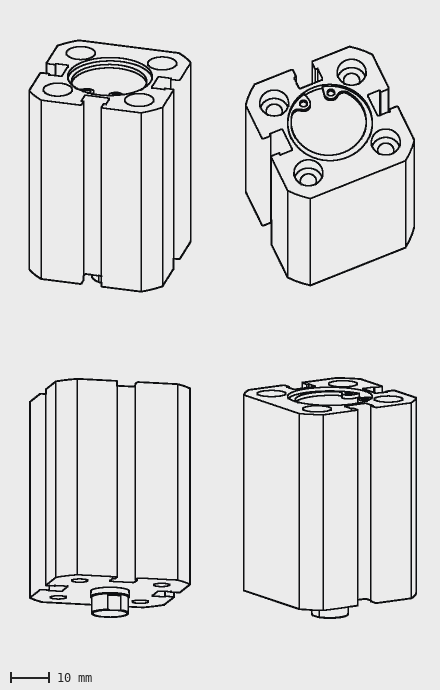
import cadquery as cq
import math


total_height = 58.0
rod_projection = 6.0
housing_height = total_height - rod_projection

housing_width = 36.0
half_width = housing_width / 2
corner_diameter = 45.0

slot_mouth_width = 5.4
slot_inner_width = 6.65
slot_depth = 5.9
slot_lip = 2.45
slot_rounding = 0.4

hole_spacing = 22.0
hole_diameter = 4.2
counterbore_diameter = 7.5
counterbore_depth = 5.0

recess_diameter = 22.0
ring_drop = 1.0
ring_thickness = 1.0
cover_thickness = 5.0
recess_depth = ring_drop + ring_thickness + cover_thickness
ring_base = housing_height - ring_drop - ring_thickness
cover_base = housing_height - recess_depth

ring_inner_diameter = 19.55
ring_inner_offset = 0.85
lug_x = 3.9
lug_y = -8.25
lug_radius = 1.8
lug_hole_diameter = 1.9
lug_blend_radius = 1.85
gap_inner_half = lug_x - lug_radius
gap_outer_half = 2.6

rod_diameter = 10.0
tip_diameter = 9.55
tip_flat_width = 8.9
tip_chamfer = 0.2
collar_length = 1.45


def make_slot_cutter():
    """T-slot cutter for the -Y side, running the full height of the housing."""
    mouth = slot_mouth_width / 2
    inner = slot_inner_width / 2
    mouth_y = -half_width
    lip_y = mouth_y + slot_lip
    floor_y = mouth_y + slot_depth
    round_top_y = mouth_y + slot_rounding
    flare = mouth + slot_rounding
    arc_sag = slot_rounding * (1 - math.sqrt(0.5))

    slot = (
        cq.Workplane("XY")
        .moveTo(flare, mouth_y)
        .threePointArc((mouth + arc_sag, mouth_y + arc_sag), (mouth, round_top_y))
        .lineTo(mouth, lip_y)
        .lineTo(inner, lip_y)
        .lineTo(inner, floor_y)
        .lineTo(-inner, floor_y)
        .lineTo(-inner, lip_y)
        .lineTo(-mouth, lip_y)
        .lineTo(-mouth, round_top_y)
        .threePointArc((-mouth - arc_sag, mouth_y + arc_sag), (-flare, mouth_y))
        .close()
        .extrude(housing_height)
    )
    return slot.faces(">Y").edges("|Z").fillet(slot_rounding)


def make_housing():
    corner_envelope = cq.Workplane("XY").circle(corner_diameter / 2).extrude(housing_height)
    housing = cq.Workplane("XY").rect(housing_width, housing_width).extrude(housing_height)
    housing = housing.intersect(corner_envelope)

    slot_cutter = make_slot_cutter()
    for angle in (-90, 0, 90):
        housing = housing.cut(slot_cutter.rotate((0, 0, 0), (0, 0, 1), angle))

    housing = (
        housing.faces(">Z").workplane(origin=(0, 0, 0))
        .rect(hole_spacing, hole_spacing, forConstruction=True).vertices()
        .cboreHole(hole_diameter, counterbore_diameter, counterbore_depth)
    )

    recess = cq.Workplane("XY").workplane(offset=cover_base).circle(recess_diameter / 2).extrude(recess_depth)
    rod_bore = cq.Workplane("XY").circle(rod_diameter / 2).extrude(cover_base)
    return housing.cut(recess).cut(rod_bore)


def make_cover():
    """Plain disc that closes the top end, under the snap ring."""
    return (
        cq.Workplane("XY").workplane(offset=cover_base)
        .circle(recess_diameter / 2).extrude(cover_thickness)
    )


def make_snap_ring():
    """Internal snap ring, open toward -Y, with a drilled lug at each end."""
    base = cq.Workplane("XY").workplane(offset=ring_base)
    lug_centres = [(-lug_x, lug_y), (lug_x, lug_y)]

    outer_disc = base.circle(recess_diameter / 2).extrude(ring_thickness)
    opening = base.center(0, -ring_inner_offset).circle(ring_inner_diameter / 2).extrude(ring_thickness)
    lugs = base.pushPoints(lug_centres).circle(lug_radius).extrude(ring_thickness)

    rim_y = -recess_diameter / 2
    for side in (-1, 1):
        wedge = [
            (side * gap_inner_half, lug_y),
            (side * gap_outer_half, rim_y),
            (side * (lug_x + lug_radius), rim_y),
            (side * lug_x, lug_y),
        ]
        lugs = lugs.union(base.polyline(wedge).close().extrude(ring_thickness))

    gap_outline = [
        (-gap_inner_half, lug_y),
        (gap_inner_half, lug_y),
        (gap_outer_half, rim_y),
        (-gap_outer_half, rim_y),
    ]
    gap = base.polyline(gap_outline).close().extrude(ring_thickness)
    ring = outer_disc.cut(opening).union(lugs.intersect(outer_disc)).cut(gap)

    opening_radius = ring_inner_diameter / 2
    lug_dy = lug_y + ring_inner_offset
    lug_distance = math.hypot(lug_x, lug_dy)
    along = (lug_distance**2 + opening_radius**2 - lug_radius**2) / (2 * lug_distance)
    across = math.sqrt(opening_radius**2 - along**2)
    blend_x = (along * lug_x - across * lug_dy) / lug_distance
    blend_y = (along * lug_dy + across * lug_x) / lug_distance - ring_inner_offset
    blend_z = ring_base + ring_thickness / 2
    for side in (-1, 1):
        corner = cq.selectors.NearestToPointSelector((side * blend_x, blend_y, blend_z))
        ring = ring.edges("|Z").edges(corner).fillet(lug_blend_radius)

    lug_holes = base.pushPoints(lug_centres).circle(lug_hole_diameter / 2).extrude(ring_thickness)
    return ring.cut(lug_holes)


def make_rod():
    """Piston rod with a slightly smaller tip that has two wrench flats facing -Y and +Y.

    Under the full-diameter collar, a 45 degree shoulder narrows the rod to the tip,
    and 45 degree slopes carry the same drop on down to the flats.
    """
    rod_radius = rod_diameter / 2
    tip_radius = tip_diameter / 2
    flat_y = tip_flat_width / 2
    shoulder_height = rod_radius - tip_radius
    collar_end = -collar_length
    flat_end = collar_end - (rod_radius - flat_y)

    shank = (
        cq.Workplane("XY").workplane(offset=collar_end - shoulder_height)
        .circle(rod_radius).extrude(cover_base - collar_end + shoulder_height)
        .faces("<Z").chamfer(shoulder_height)
    )
    tip_outline = [
        (flat_y, -rod_projection),
        (flat_y, flat_end),
        (rod_radius, collar_end),
        (-rod_radius, collar_end),
        (-flat_y, flat_end),
        (-flat_y, -rod_projection),
    ]
    tip_flats = cq.Workplane("YZ").polyline(tip_outline).close().extrude(tip_radius, both=True)
    tip = (
        cq.Workplane("XY").workplane(offset=-rod_projection)
        .circle(tip_radius).extrude(rod_projection - collar_length)
        .faces("<Z").chamfer(tip_chamfer)
        .intersect(tip_flats)
    )
    return shank.union(tip)


housing = make_housing()
cover = make_cover()
snap_ring = make_snap_ring()
rod = make_rod()

result = cq.Compound.makeCompound([housing.val(), cover.val(), snap_ring.val(), rod.val()])